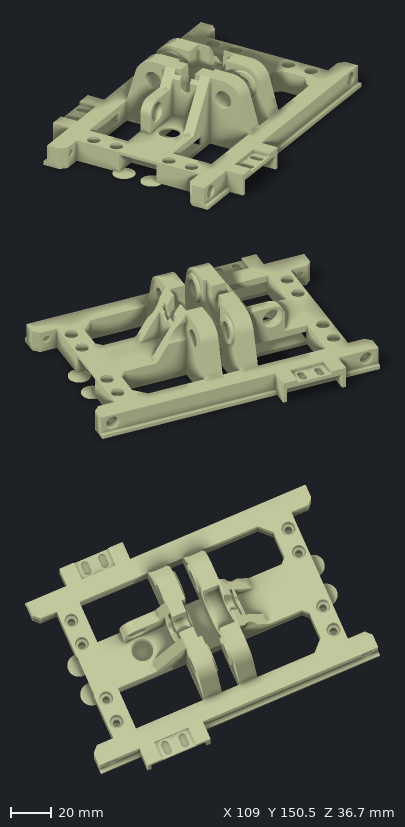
import cadquery as cq
import math

LENGTH = 150.5
TAB_SPAN = 109.0
HEIGHT = 36.7
OVERLAP = 1.5

BASE_TOP = 11.5
RAIL_OUT = 45.0
RAIL_IN = 35.0
RAIL_CHAMFER = 3.0
LIP_OUT = 47.1
LIP_HEIGHT = 2.1
BAR_OUT = 63.2
BAR_IN = 51.2
WEB_HALF = 25.5 / 2
TUNNEL_HALF = 21.5 / 2
TUNNEL_TOP = 10.0
SLOT_OUTER_CHAMFER = 6.0
SLOT_INNER_CHAMFER = 3.0

TAB_Y = -36.4
TAB_LENGTH = 34.0
TAB_WALL = 2.1
WINDOW_LENGTH = TAB_LENGTH - 2 * TAB_WALL
WINDOW_TOP = 7.8
RECESS_LENGTH = 18.4
RECESS_DEPTH = 1.7
SLOT_LENGTH = 7.4
SLOT_WIDTH = 3.9
SLOT_PITCH = 9.3
SKIN = 0.3

SCREW_RADIUS = 2.0
HEAD_RADIUS = 3.5
HEAD_DEPTH = 3.8
BAR_SCREW_X = (15.0, 28.0)
BAR_SCREW_Y = 58.5
RAIL_SCREW_Y = 68.8
RAIL_SCREW_Z = 6.8

DISC_RADIUS = 5.7
DISC_X = 8.0
DISC_THICKNESS = 0.3

PLATE_IN = 4.8
PLATE_OUT = 14.3
PIVOT_X = 20.2
PIVOT_Z = 26.5
PIVOT_RADIUS = 4.7
ENTRY_CHAMFER = 0.5
THREAD_DEPTH = 0.5
THREAD_PITCH = 1.5
PLATE_ROUND = HEIGHT - PIVOT_Z
PLATE_FOOT = 36.3
FLARE = 1.0
FLANK_FOOT = PLATE_FOOT - FLARE
BOSS_BASE_RADIUS = 7.8
BOSS_TIP_RADIUS = 7.2
BOSS_HEIGHT = 1.2
HEAD_CLEARANCE_RADIUS = 9.2

GUSSET_IN = 14.0 / 2
GUSSET_LEAN = 0.64
GUSSET_FOOT = 31.6
LUG_Y = -32.4
LUG_Z = 20.8
LUG_ROUND = 6.8
LUG_HOLE_RADIUS = 5.3
ROOF_HOLE_RADIUS = 5.3
ROOF_HOLE_CHAMFER = 0.8

SEAT_Z = 28.7
WHEEL_RADIUS = 10.2
WHEEL_FRONT = -6.9
WHEEL_REAR = 13.4
JOURNAL_RADIUS = 3.8
JOURNAL_MOUTH = 4.2
TIP_RADIUS = 2.9
FRONT_WEB_FACE = -17.2
FRONT_POCKET = (-15.8, -PLATE_OUT)
REAR_WEB_FACE = 20.2
REAR_POCKET = (17.3, 19.0)
POCKET_FLOOR = SEAT_Z - GUSSET_IN


def block(x0, x1, y0, y1, z0, z1):
    """Axis-aligned box given by its limits."""
    return cq.Workplane("XY").box(x1 - x0, y1 - y0, z1 - z0, centered=False).translate((x0, y0, z0))


def rod_y(x, z, radius, y0, y1):
    """Cylinder along Y."""
    return cq.Workplane("XZ", origin=(x, y0, z)).circle(radius).extrude(y0 - y1)


def rod_z(x, y, radius, z0, z1):
    """Cylinder along Z."""
    return cq.Workplane("XY", origin=(x, y, z0)).circle(radius).extrude(z1 - z0)


def rod_x(y, z, radius, x0, x1):
    """Cylinder along X."""
    return cq.Workplane("YZ", origin=(x0, y, z)).circle(radius).extrude(x1 - x0)


def both_sides(shape):
    """The shape together with its mirror image across X = 0."""
    return shape.union(shape.mirror("YZ"))


def left_rail():
    """Side rail with its bottom lip, chamfered on the inside at both ends."""
    half = LENGTH / 2
    rail = block(-RAIL_OUT, -RAIL_IN, -half, half, 0, BASE_TOP)
    rail = rail.edges("|Z and >X").chamfer(RAIL_CHAMFER)
    return rail.union(block(-LIP_OUT, -RAIL_OUT, -half, half, 0, LIP_HEIGHT))


def left_opening():
    """Long opening between web and rail, chamfered at its rear corners."""
    opening = block(-RAIL_IN, -WEB_HALF, -BAR_IN, BAR_IN, -OVERLAP, BASE_TOP + OVERLAP)
    opening = opening.edges("|Z and >Y and <X").chamfer(SLOT_OUTER_CHAMFER)
    return opening.edges("|Z and >Y and >X").chamfer(SLOT_INNER_CHAMFER)


def left_tab():
    """Side tab with a sunken seat and two blind slots."""
    half_tab = TAB_LENGTH / 2
    half_recess = RECESS_LENGTH / 2
    outer = -TAB_SPAN / 2
    tab = block(outer, -RAIL_OUT, TAB_Y - half_tab, TAB_Y + half_tab, 0, BASE_TOP)
    seat = BASE_TOP - RECESS_DEPTH
    recess = block(outer, -RAIL_OUT, TAB_Y - half_recess, TAB_Y + half_recess, seat, BASE_TOP)
    slots = (
        cq.Workplane("XY", origin=((outer - RAIL_OUT) / 2, TAB_Y, WINDOW_TOP + SKIN))
        .rarray(1.5, SLOT_PITCH, 1, 2)
        .slot2D(SLOT_LENGTH, SLOT_WIDTH)
        .extrude(BASE_TOP)
    )
    return tab.cut(recess).cut(slots)


def frame():
    """Rails, tabs, cross bars and hollow centre web, with the window through all of them."""
    deck = block(-RAIL_IN, RAIL_IN, -BAR_OUT, BAR_OUT, 0, BASE_TOP)
    tunnel = block(-TUNNEL_HALF, TUNNEL_HALF, -BAR_OUT, BAR_OUT, 0, TUNNEL_TOP)
    deck = deck.cut(tunnel).cut(both_sides(left_opening()))

    half_window = WINDOW_LENGTH / 2
    window_front = TAB_Y - half_window
    window_rear = TAB_Y + half_window
    floor = block(-TUNNEL_HALF, TUNNEL_HALF, window_front, window_rear, 0, LIP_HEIGHT)
    body = deck.union(floor).union(both_sides(left_rail().union(left_tab())))

    window = block(-TAB_SPAN / 2, TAB_SPAN / 2, window_front, window_rear, LIP_HEIGHT, WINDOW_TOP)
    under_tab = block(-TAB_SPAN / 2, -LIP_OUT, window_front, window_rear, 0, WINDOW_TOP)
    return body.cut(window).cut(both_sides(under_tab))


def bar_screw_hole(x, y):
    """Blind counterbored hole down into a cross bar."""
    hole = rod_z(x, y, SCREW_RADIUS, SKIN, BASE_TOP)
    return hole.union(rod_z(x, y, HEAD_RADIUS, BASE_TOP - HEAD_DEPTH, BASE_TOP))


def rail_screw_hole(y):
    """Counterbored hole sideways through the left rail."""
    hole = rod_x(y, RAIL_SCREW_Z, SCREW_RADIUS, -RAIL_OUT, -RAIL_IN)
    return hole.union(rod_x(y, RAIL_SCREW_Z, HEAD_RADIUS, -RAIL_OUT, -RAIL_OUT + HEAD_DEPTH))


def drill_screw_holes(body):
    """Cut all screw holes of the frame."""
    for end in (-1, 1):
        for x in BAR_SCREW_X:
            body = body.cut(both_sides(bar_screw_hole(-x, end * BAR_SCREW_Y)))
        body = body.cut(both_sides(rail_screw_hole(end * RAIL_SCREW_Y)))
    return body


def discs():
    """Thin discs under the web corners at both tunnel mouths."""
    points = [(x, y) for x in (-DISC_X, DISC_X) for y in (-BAR_OUT, BAR_OUT)]
    return cq.Workplane("XY").pushPoints(points).circle(DISC_RADIUS).extrude(DISC_THICKNESS)


def plate_half(y0, y1):
    """Left half of an upright plate: leaning flank tangent to the round top, flared foot."""
    run = FLANK_FOOT - PIVOT_X
    drop = PIVOT_Z - BASE_TOP
    tangent = math.atan2(-drop, run) + math.acos(PLATE_ROUND / math.hypot(run, drop))
    middle = (tangent + math.pi / 2) / 2

    def on_round(angle):
        return (-PIVOT_X - PLATE_ROUND * math.cos(angle), PIVOT_Z + PLATE_ROUND * math.sin(angle))

    flank_top = on_round(tangent)
    flank_slope = (flank_top[0] + FLANK_FOOT) / (flank_top[1] - BASE_TOP)
    return (
        cq.Workplane("XZ", origin=(0, y0, 0))
        .moveTo(0, HEIGHT)
        .lineTo(-PIVOT_X, HEIGHT)
        .threePointArc(on_round(middle), flank_top)
        .lineTo(-FLANK_FOOT + FLARE * flank_slope, BASE_TOP + FLARE)
        .tangentArcPoint((-PLATE_FOOT, BASE_TOP), relative=False)
        .lineTo(-RAIL_IN, BASE_TOP)
        .lineTo(-RAIL_IN, 0)
        .lineTo(-TUNNEL_HALF, 0)
        .lineTo(-TUNNEL_HALF, TUNNEL_TOP)
        .lineTo(0, TUNNEL_TOP)
        .close()
        .extrude(y0 - y1)
    )


def boss(y_side):
    """Tapered ring around the left pivot hole, on the face toward the other plate."""
    return (
        cq.Workplane("XZ", origin=(-PIVOT_X, y_side * PLATE_IN, PIVOT_Z))
        .circle(BOSS_BASE_RADIUS)
        .workplane(offset=y_side * BOSS_HEIGHT)
        .circle(BOSS_TIP_RADIUS)
        .loft()
    )


def threaded_hole():
    """Left pivot hole of the front plate, with the thread simplified to ring-shaped V grooves."""
    depth = PLATE_OUT - PLATE_IN + BOSS_HEIGHT
    turns = math.floor(depth / THREAD_PITCH)
    profile = cq.Workplane("XY").moveTo(0, -PLATE_OUT).lineTo(PIVOT_RADIUS, -PLATE_OUT)
    for turn in range(turns):
        y = -PLATE_OUT + turn * THREAD_PITCH
        profile = profile.lineTo(PIVOT_RADIUS + THREAD_DEPTH, y + THREAD_PITCH / 2)
        profile = profile.lineTo(PIVOT_RADIUS, y + THREAD_PITCH)
    profile = profile.lineTo(PIVOT_RADIUS, -PLATE_OUT + depth).lineTo(0, -PLATE_OUT + depth).close()
    return profile.revolve(360, (0, 0, 0), (0, 1, 0)).translate((-PIVOT_X, 0, PIVOT_Z))


def plain_hole():
    """Left pivot hole of the rear plate, chamfered where it enters the boss."""
    entry = PLATE_IN - BOSS_HEIGHT
    wide = PIVOT_RADIUS + ENTRY_CHAMFER
    return (
        cq.Workplane("XY")
        .moveTo(0, entry)
        .lineTo(wide, entry)
        .lineTo(PIVOT_RADIUS, entry + ENTRY_CHAMFER)
        .lineTo(PIVOT_RADIUS, PLATE_OUT)
        .lineTo(0, PLATE_OUT)
        .close()
        .revolve(360, (0, 0, 0), (0, 1, 0))
        .translate((-PIVOT_X, 0, PIVOT_Z))
    )


def slope_y(z):
    """Distance of the leaning gusset face from Y = 0 at height z."""
    return PLATE_OUT + GUSSET_LEAN * (HEIGHT - z)


def gusset(x0, x1):
    """Rear leaning rib with a flared foot."""
    flare_top = BASE_TOP + FLARE
    return (
        cq.Workplane("YZ", origin=(x0, 0, 0))
        .moveTo(PLATE_OUT, BASE_TOP)
        .lineTo(PLATE_OUT, HEIGHT)
        .lineTo(slope_y(flare_top), flare_top)
        .tangentArcPoint((GUSSET_FOOT, BASE_TOP), relative=False)
        .close()
        .extrude(x1 - x0)
    )


def lug():
    """Front left rib that carries a round-cornered pivot lug."""
    lug_top = LUG_Z + LUG_ROUND
    lug_end = LUG_Y - LUG_ROUND
    diagonal = LUG_ROUND * math.sqrt(0.5)
    body = (
        cq.Workplane("YZ", origin=(-WEB_HALF, 0, 0))
        .moveTo(-PLATE_OUT, BASE_TOP)
        .lineTo(-PLATE_OUT, HEIGHT)
        .lineTo(-slope_y(lug_top), lug_top)
        .lineTo(LUG_Y, lug_top)
        .threePointArc((LUG_Y - diagonal, LUG_Z + diagonal), (lug_end, LUG_Z))
        .lineTo(lug_end, BASE_TOP)
        .close()
        .extrude(WEB_HALF - GUSSET_IN)
    )
    return body.cut(rod_x(LUG_Y, LUG_Z, LUG_HOLE_RADIUS, -WEB_HALF, -GUSSET_IN))


def seat_webs():
    """Walls between the gussets that carry the ends of the spindle seat, each with a cross pocket."""
    rib = gusset(-GUSSET_IN, GUSSET_IN)
    rear = rib.intersect(block(-GUSSET_IN, GUSSET_IN, PLATE_OUT, REAR_WEB_FACE, 0, HEIGHT))
    front = rib.mirror("XZ").intersect(block(-GUSSET_IN, GUSSET_IN, FRONT_WEB_FACE, -PLATE_OUT, 0, HEIGHT))
    webs = rear.union(front)
    for y0, y1 in (FRONT_POCKET, REAR_POCKET):
        webs = webs.cut(block(-GUSSET_IN, GUSSET_IN, y0, y1, POCKET_FLOOR, HEIGHT))
    return webs


def seat_step(radius, mouth, y0, y1):
    """Round-bottomed trough along Y, open at the top, with half width mouth at the plate tops."""
    return (
        cq.Workplane("XZ", origin=(0, y0, 0))
        .moveTo(-mouth, HEIGHT)
        .lineTo(-radius, SEAT_Z)
        .threePointArc((0, SEAT_Z - radius), (radius, SEAT_Z))
        .lineTo(mouth, HEIGHT)
        .close()
        .extrude(y0 - y1)
    )


def uprights():
    """Both plates with bosses, ribs, pivot holes and the spindle seat."""
    left = plate_half(-PLATE_OUT, -PLATE_IN).union(plate_half(PLATE_IN, PLATE_OUT))
    left = left.union(boss(-1)).union(boss(1))
    left = left.union(gusset(-WEB_HALF, -GUSSET_IN))
    left = left.cut(threaded_hole()).cut(plain_hole())
    left = left.cut(rod_y(-PIVOT_X, PIVOT_Z, HEAD_CLEARANCE_RADIUS, PLATE_OUT, GUSSET_FOOT))

    front_right_rib = gusset(GUSSET_IN, WEB_HALF).mirror("XZ")
    body = both_sides(left).union(lug()).union(front_right_rib).union(seat_webs())
    body = body.cut(seat_step(WHEEL_RADIUS, WHEEL_RADIUS, WHEEL_FRONT, WHEEL_REAR))
    body = body.cut(seat_step(JOURNAL_RADIUS, JOURNAL_MOUTH, -PLATE_OUT, REAR_POCKET[0]))
    return body.cut(seat_step(TIP_RADIUS, TIP_RADIUS, FRONT_WEB_FACE, REAR_WEB_FACE))


def roof_hole():
    """Chamfered hole through the tunnel roof beside the lug."""
    hole = rod_z(0, LUG_Y, ROOF_HOLE_RADIUS, TUNNEL_TOP, BASE_TOP)
    rim = (
        cq.Workplane("XY", origin=(0, LUG_Y, BASE_TOP - ROOF_HOLE_CHAMFER))
        .circle(ROOF_HOLE_RADIUS)
        .workplane(offset=ROOF_HOLE_CHAMFER)
        .circle(ROOF_HOLE_RADIUS + ROOF_HOLE_CHAMFER)
        .loft()
    )
    return hole.union(rim)


result = drill_screw_holes(frame()).cut(roof_hole()).union(discs()).union(uprights())